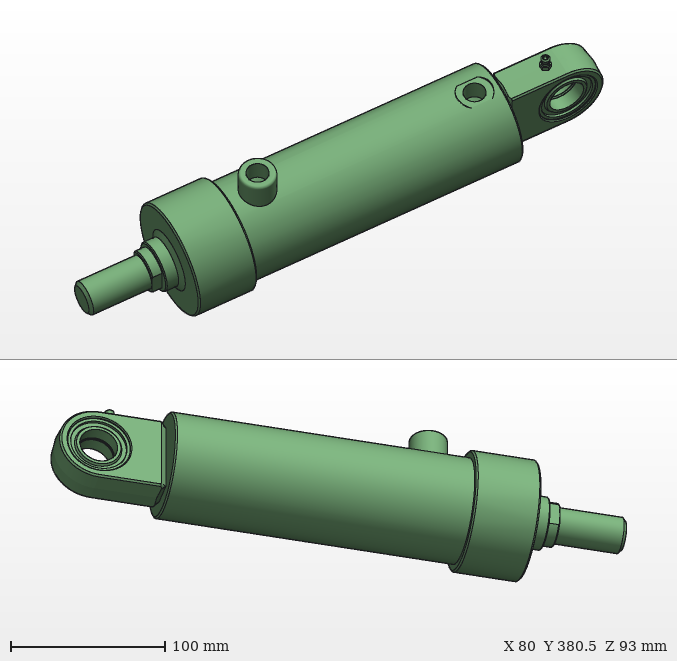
import cadquery as cq
import math

overall_length = 380.5

eye_radius = 27.5
eye_half_width = 12.5
eye_draft_angle = 5.0
eye_edge_chamfer = 1.0
eye_weld_chamfer = 3.8
pin_bore_diameter = 25.0
bearing_seat_diameter = 42.0
bearing_seat_mouth_diameter = 43.5
retaining_ring_inner_diameter = 37.5
retaining_ring_half_width = 11.0
race_half_width = 9.0
ball_diameter = 36.5
ball_half_width = 10.5
oil_groove_width = 1.5
oil_groove_depth = 0.5

nipple_station = 10.0
nipple_hex_across_flats = 7.0
nipple_embedment = 2.0
nipple_root = eye_radius - nipple_embedment
nipple_base_top = 30.5
nipple_neck_diameter = 5.5
nipple_neck_top = 33.0
nipple_head_diameter = 6.0
nipple_top = 37.0
nipple_top_chamfer = 1.0
nipple_hole_diameter = 3.0
nipple_hole_depth = 1.5

barrel_diameter = 70.0
barrel_start = 45.3
head_diameter = 80.0
head_start = 245.0
head_end = 288.5
body_chamfer = 1.0
wiper_base_diameter = 43.5
wiper_length = 2.5

port_diameter = 15.0
port_depth = 15.2
drill_point_angle = 118.0
rear_port_station = 62.5
spotface_diameter = 25.0
spotface_width = 19.8
front_port_station = 223.0
boss_diameter = 25.0
boss_top = 53.0
boss_rounding = 2.0

rod_diameter = 35.0
rod_end = overall_length - eye_radius
rod_shoulder = 300.2
wrench_collar_diameter = 29.0
wrench_collar_end = 308.0
wrench_flat_width = 24.0
spigot_diameter = 24.0
spigot_chamfer = 2.3
shoulder_chamfer = 0.8


def axial_cylinder(diameter, start, end):
    """Cylinder on the Y axis between two stations, start being the nearer one."""
    return cq.Workplane("XZ", origin=(0, -start, 0)).circle(diameter / 2).extrude(end - start)


def cross_cylinder(diameter, inner_x, outer_x):
    """Cylinder on the pin axis between two X positions."""
    return cq.Workplane("YZ", origin=(inner_x, 0, 0)).circle(diameter / 2).extrude(outer_x - inner_x)


def upright_cylinder(diameter, station, bottom, top):
    """Cylinder parallel to Z at a station on the Y axis."""
    return cq.Workplane("XY", origin=(0, -station, bottom)).circle(diameter / 2).extrude(top - bottom)


def drilled_port(station, mouth):
    """Blind oil port with a drill point, opening upward at height mouth."""
    radius = port_diameter / 2
    point_length = radius / math.tan(math.radians(drill_point_angle / 2))
    floor = mouth - port_depth
    return (
        cq.Workplane("XZ", origin=(0, -station, 0))
        .moveTo(0, mouth)
        .lineTo(radius, mouth)
        .lineTo(radius, floor)
        .lineTo(0, floor - point_length)
        .close()
        .revolve(360, (0, 0, 0), (0, 1, 0))
    )


def make_barrel():
    """Barrel with the gland head, the wiper cone, both ports and a blind seat for the rod."""
    tube = axial_cylinder(barrel_diameter, barrel_start, head_start).faces(">Y").chamfer(body_chamfer)
    head = axial_cylinder(head_diameter, head_start, head_end).edges().chamfer(body_chamfer)
    wiper = (
        cq.Workplane("XZ", origin=(0, -head_end, 0))
        .circle(wiper_base_diameter / 2)
        .workplane(offset=wiper_length)
        .circle(rod_diameter / 2)
        .loft()
    )
    boss = upright_cylinder(boss_diameter, front_port_station, 0, boss_top).faces(">Z").fillet(boss_rounding)
    body = tube.union(head).union(wiper).union(boss)

    spotface_height = math.sqrt(barrel_diameter**2 - spotface_width**2) / 2
    spotface = upright_cylinder(spotface_diameter, rear_port_station, spotface_height, barrel_diameter)
    rod_seat = axial_cylinder(rod_diameter, head_start, head_end + wiper_length)
    return (
        body.cut(spotface)
        .cut(drilled_port(rear_port_station, spotface_height))
        .cut(drilled_port(front_port_station, boss_top))
        .cut(rod_seat)
    )


def make_rod():
    """Rod seated in the head, with a wrench collar and a plain spigot at its end."""
    shank = axial_cylinder(rod_diameter, head_start, rod_shoulder).faces("<Y").chamfer(shoulder_chamfer)
    collar = axial_cylinder(wrench_collar_diameter, rod_shoulder, wrench_collar_end)
    collar = collar.faces("<Y").chamfer(shoulder_chamfer)
    flats = cq.Workplane("XY").box(wrench_flat_width, 2 * overall_length, wrench_collar_diameter)
    spigot = axial_cylinder(spigot_diameter, wrench_collar_end, rod_end).faces("<Y").chamfer(spigot_chamfer)
    return shank.union(collar.intersect(flats)).union(spigot)


def eye_half():
    """Half of the eye on the +X side, drafted from the parting plane x = 0."""
    length_before_trim = barrel_start + eye_radius
    return (
        cq.Workplane("YZ")
        .moveTo(0, eye_radius)
        .threePointArc((eye_radius, 0), (0, -eye_radius))
        .lineTo(-length_before_trim, -eye_radius)
        .lineTo(-length_before_trim, eye_radius)
        .close()
        .extrude(eye_half_width, taper=eye_draft_angle)
        .faces(">X")
        .chamfer(eye_edge_chamfer)
    )


def weld_envelope():
    """Space open toward +Y that trims the eye at the barrel and bevels all four sides there at 45 degrees."""
    return (
        cq.Workplane("XZ", origin=(0, -barrel_start, 0))
        .rect(2 * (eye_half_width - eye_weld_chamfer), 2 * (eye_radius - eye_weld_chamfer))
        .extrude(-barrel_start - eye_radius, taper=-45)
    )


def make_nipple():
    """Grease nipple with a hexagonal base rooted in the top of the eye."""
    hex_across_corners = nipple_hex_across_flats / math.cos(math.pi / 6)
    base = (
        cq.Workplane("XY", origin=(0, -nipple_station, nipple_root))
        .polygon(6, hex_across_corners)
        .extrude(nipple_base_top - nipple_root)
    )
    neck = upright_cylinder(nipple_neck_diameter, nipple_station, nipple_base_top, nipple_neck_top)
    head = upright_cylinder(nipple_head_diameter, nipple_station, nipple_neck_top, nipple_top)
    head = head.faces(">Z").chamfer(nipple_top_chamfer)
    hole = upright_cylinder(nipple_hole_diameter, nipple_station, nipple_top - nipple_hole_depth, nipple_top)
    return base.union(neck).union(head).cut(hole)


def bearing_recess():
    """Recess on the +X side, stepped down from the retaining ring to the race around the rounded ball end."""
    ball_radius = ball_diameter / 2
    seat_radius = bearing_seat_diameter / 2
    ring_radius = retaining_ring_inner_diameter / 2
    mouth_radius = bearing_seat_mouth_diameter / 2
    mouth_depth = mouth_radius - seat_radius
    middle_x = (race_half_width + ball_half_width) / 2

    def ball_profile_radius(x):
        return math.sqrt(ball_radius**2 - x**2)

    return (
        cq.Workplane("XZ")
        .moveTo(race_half_width, ball_profile_radius(race_half_width))
        .threePointArc(
            (middle_x, ball_profile_radius(middle_x)),
            (ball_half_width, ball_profile_radius(ball_half_width)),
        )
        .lineTo(ball_half_width, 0)
        .lineTo(eye_half_width, 0)
        .lineTo(eye_half_width, mouth_radius)
        .lineTo(eye_half_width - mouth_depth, seat_radius)
        .lineTo(retaining_ring_half_width, seat_radius)
        .lineTo(retaining_ring_half_width, ring_radius)
        .lineTo(race_half_width, ring_radius)
        .close()
        .revolve(360, (0, 0, 0), (1, 0, 0))
    )


def make_eye():
    """Drafted eye with its spherical bearing, pin bore and grease nipple."""
    half = eye_half()
    eye = half.union(half.mirror("YZ")).intersect(weld_envelope())
    eye = eye.union(make_nipple())

    recess = bearing_recess()
    pin_bore = cross_cylinder(pin_bore_diameter, -eye_half_width, eye_half_width)
    oil_groove = cross_cylinder(
        pin_bore_diameter + 2 * oil_groove_depth, -oil_groove_width / 2, oil_groove_width / 2
    )
    return eye.cut(recess).cut(recess.mirror("YZ")).cut(pin_bore).cut(oil_groove)


barrel = make_barrel()
rod = make_rod()
eye = make_eye()

result = cq.Compound.makeCompound([barrel.val(), rod.val(), eye.val()])